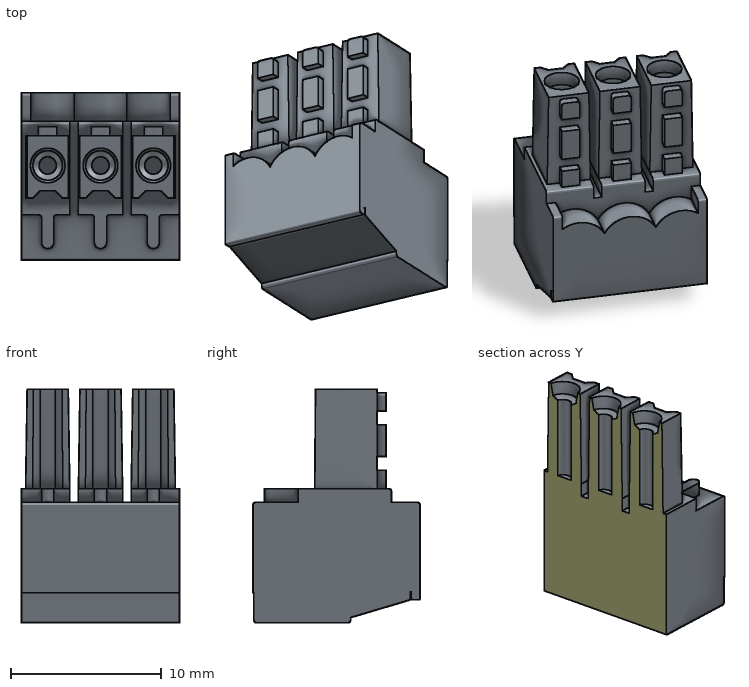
import cadquery as cq


pole_count = 3
pitch = 3.5
pole_centers = [(i - (pole_count - 1) / 2) * pitch for i in range(pole_count)]

width = pole_count * pitch
depth = 11.1
deck_z = 8.0
pad_top_z = 8.9
pad_height = pad_top_z - deck_z
edge_radius = 0.2
foot_height = 2.0
foot_setback = 0.06

lip_bottom_z = 1.52
lip_thickness = 0.6
lip_radius = 0.12
slit_width = 0.06
slit_top_z = 2.05
slope_start = (6.5, 0.35)
slope_end_y = depth - lip_thickness - slit_width

pad_front_y = 3.0
pad_back_y = 9.2
pad_gap = 0.55
tongue_width = 0.8
tongue_tip_y = 0.77
tongue_root_radius = 0.2

shoulder_radius = 2.0
shoulder_top_z = 7.35
end_stop_width = 0.62

post_top_z = 15.5
post_height = post_top_z - pad_top_z
post_front_y = 4.1
post_back_y = 8.24
post_base_width = 2.94
post_top_width = 2.74
post_front_draft = 0.05

channel_floor_width = 1.0
channel_floor_y = 4.6

hole_y = 6.28
mouth_diameter = 2.3
throat_diameter = 1.96
throat_depth = 0.83
bore_diameter = 1.15
bore_start_depth = 1.05

rib_width = 1.22
rib_back_y = 8.84
rib_top_z = 15.26
rib_radius = 0.2
rib_gaps = [(10.12, 11.02), (13.14, 14.04)]


def box(x_range, y_range, z_range):
    """Box spanning the given ranges."""
    size = [high - low for low, high in (x_range, y_range, z_range)]
    corner = (x_range[0], y_range[0], z_range[0])
    return cq.Workplane("XY").box(*size, centered=False).translate(corner)


def make_housing():
    """Side profile extruded across the full width, with its edges rounded."""
    outline = [
        (foot_setback, 0),
        (foot_setback, foot_height),
        (0, foot_height),
        (0, deck_z),
        (depth, deck_z),
        (depth, lip_bottom_z),
        (depth - lip_thickness, lip_bottom_z),
        (depth - lip_thickness, slit_top_z),
        (slope_end_y, slit_top_z),
        (slope_end_y, lip_bottom_z),
        slope_start,
        (slope_start[0], 0),
    ]
    housing = (
        cq.Workplane("YZ").workplane(offset=-width / 2).polyline(outline).close().extrude(width)
    )

    def round_edges(solid, corners, radius):
        for y, z in corners:
            edge = cq.selectors.NearestToPointSelector((0, y, z))
            solid = solid.edges("|X").edges(edge).fillet(radius)
        return solid

    main_corners = [(foot_setback, 0), (0, deck_z), (depth, deck_z), (slope_start[0], 0)]
    lip_corners = [(depth, lip_bottom_z), (depth - lip_thickness, lip_bottom_z), (slope_end_y, lip_bottom_z)]
    housing = round_edges(housing, main_corners, edge_radius)
    return round_edges(housing, lip_corners, lip_radius)


def add_shoulders(housing):
    """Replace the deck behind the pads with one convex shoulder per pole."""
    axis_z = shoulder_top_z - shoulder_radius
    half_span = width / 2 - end_stop_width
    pocket = box((-half_span, half_span), (pad_back_y, depth), (axis_z, deck_z))
    housing = housing.cut(pocket)
    for center in pole_centers:
        shoulder = (
            cq.Workplane("XZ", origin=(center, depth, axis_z))
            .circle(shoulder_radius)
            .extrude(depth - pad_back_y)
        )
        housing = housing.union(shoulder.intersect(pocket))
    return housing


def make_pad(index):
    """Raised pad with a round-ended tongue; the outer pads reach the housing sides."""
    center = pole_centers[index]
    half_width = (pitch - pad_gap) / 2
    left = -width / 2 if index == 0 else center - half_width
    right = width / 2 if index == pole_count - 1 else center + half_width
    pad = box((left, right), (pad_front_y, pad_back_y), (deck_z, pad_top_z))
    pad = pad.edges("|X and >Y and >Z").fillet(edge_radius)

    half_tongue = tongue_width / 2
    tongue = (
        cq.Workplane("XY", origin=(center, 0, deck_z))
        .moveTo(-half_tongue, post_front_y)
        .lineTo(-half_tongue, tongue_tip_y + half_tongue)
        .threePointArc((0, tongue_tip_y), (half_tongue, tongue_tip_y + half_tongue))
        .lineTo(half_tongue, post_front_y)
        .close()
        .extrude(pad_height)
    )
    pad = pad.union(tongue)
    for side in (-1, 1):
        root = cq.selectors.NearestToPointSelector(
            (center + side * half_tongue, pad_front_y, deck_z + pad_height / 2)
        )
        pad = pad.edges("|Z").edges(root).fillet(tongue_root_radius)
    return pad


def make_channel():
    """Cutter for the front channel, with 45 degree sides."""
    half_floor = channel_floor_width / 2
    half_mouth = half_floor + channel_floor_y
    return (
        cq.Workplane("XY", origin=(0, 0, pad_top_z))
        .polyline([
            (-half_floor, channel_floor_y),
            (half_floor, channel_floor_y),
            (half_mouth, 0),
            (-half_mouth, 0),
        ])
        .close()
        .extrude(post_height)
    )


def make_contact_hole():
    """Cutter for the tapered mouth, the conical step and the bore down to the post foot."""
    mouth_radius = mouth_diameter / 2
    throat_radius = throat_diameter / 2
    bore_radius = bore_diameter / 2
    return (
        cq.Workplane("XZ", origin=(0, hole_y, post_top_z))
        .polyline([
            (0, 0),
            (mouth_radius, 0),
            (throat_radius, -throat_depth),
            (bore_radius, -bore_start_depth),
            (bore_radius, -post_height),
            (0, -post_height),
        ])
        .close()
        .revolve(360, (0, 0), (0, 1))
    )


def make_rib():
    """Coding rib with a rounded top, interrupted by gaps."""
    half_width = rib_width / 2
    rib = box((-half_width, half_width), (post_back_y, rib_back_y), (pad_top_z, rib_top_z))
    rib = rib.edges("|Y and >Z").fillet(rib_radius)
    for gap in rib_gaps:
        rib = rib.cut(box((-half_width, half_width), (post_back_y, rib_back_y), gap))
    return rib


def make_post():
    """Tapered contact post with its channel, hole and coding rib, centred on X = 0."""
    base_depth = post_back_y - post_front_y
    top_depth = base_depth - post_front_draft
    body = (
        cq.Workplane("XY", origin=(0, 0, pad_top_z))
        .center(0, post_back_y - base_depth / 2)
        .rect(post_base_width, base_depth)
        .workplane(offset=post_height)
        .center(0, (base_depth - top_depth) / 2)
        .rect(post_top_width, top_depth)
        .loft(ruled=True)
    )
    return body.cut(make_channel()).cut(make_contact_hole()).union(make_rib())


result = add_shoulders(make_housing())
post = make_post()
for pole, pole_x in enumerate(pole_centers):
    result = result.union(make_pad(pole)).union(post.translate((pole_x, 0, 0)))